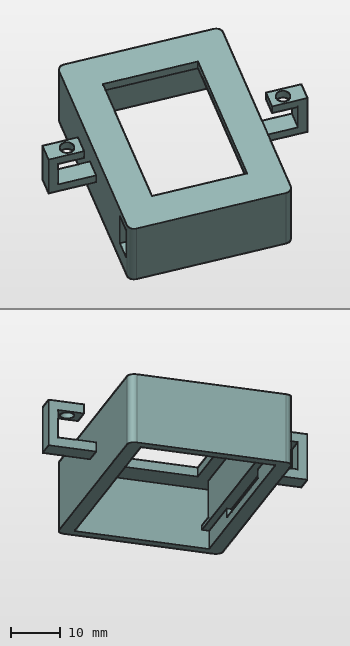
import cadquery as cq

body_length = 47.0
body_width = 34.5
body_height = 15.0
corner_radius = 1.5
side_wall = 2.0
top_thickness = 2.0
window_length = 32.0
window_width = 20.0

cavity_length = body_length - 2 * side_wall
chamber_width = 25.3
recess_width = 28.35
recess_height = 4.0

groove_length = 20.0
groove_depth = 1.0
groove_floor = 2.0

port_length = 4.0
port_height = 8.0

overall_width = 54.5
overall_height = 17.0
clip_reach = (overall_width - body_width) / 2
clip_length = 4.0
clip_thickness = 2.0
clip_base = 7.0
lip_reach = 7.45
clip_hole_diameter = 2.9
clip_hole_inset = 4.5


def block(length, width, bottom, top):
    """Centred rectangular block between two heights."""
    return cq.Workplane("XY").workplane(offset=bottom).rect(length, width).extrude(top - bottom)


def make_body():
    ceiling = body_height - top_thickness
    body = block(body_length, body_width, 0, body_height).edges("|Z").fillet(corner_radius)
    body = body.cut(block(window_length, window_width, 0, body_height))
    body = body.cut(block(cavity_length, chamber_width, 0, ceiling))
    body = body.cut(block(cavity_length, recess_width, 0, recess_height))
    groove_width = recess_width + 2 * groove_depth
    body = body.cut(block(groove_length, groove_width, groove_floor, recess_height))

    port = block(port_length, body_width / 2, ceiling - port_height, ceiling)
    port_x = (cavity_length - port_length) / 2
    return body.cut(port.translate((port_x, -body_width / 4, 0)))


def make_clip():
    """Clip on the +Y side: base arm, upright and drilled upper lip."""
    inner = body_width / 2
    outer = inner + clip_reach
    lip_end = outer - lip_reach
    upright = outer - clip_thickness
    base_top = clip_base + clip_thickness
    lip_bottom = overall_height - clip_thickness
    outline = [
        (inner, clip_base),
        (outer, clip_base),
        (outer, overall_height),
        (lip_end, overall_height),
        (lip_end, lip_bottom),
        (upright, lip_bottom),
        (upright, base_top),
        (inner, base_top),
    ]
    clip = cq.Workplane("YZ").polyline(outline).close().extrude(clip_length / 2, both=True)
    hole = (
        cq.Workplane("XY")
        .workplane(offset=lip_bottom)
        .center(0, outer - clip_hole_inset)
        .circle(clip_hole_diameter / 2)
        .extrude(clip_thickness)
    )
    return clip.cut(hole)


back_clip = make_clip()
front_clip = back_clip.mirror("XZ")
result = make_body().union(back_clip).union(front_clip)